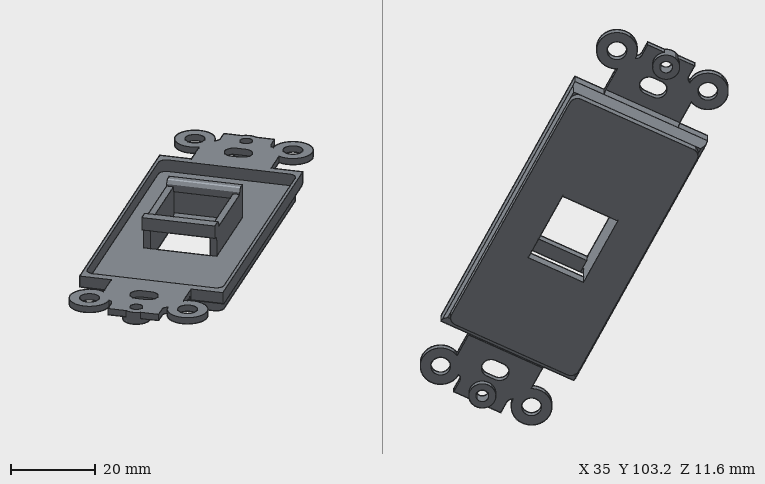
import cadquery as cq

BEZEL_TOP = 2.1
FLOOR_Z = 3.0
SIDE_EDGE_Z = 2.7
END_EDGE_Z = 3.2
PLATE_TOP = 6.0
RAIL_TOP = 10.0
LIP_TOP = 11.6

LENGTH = 103.2
PLATE_WIDTH = 35.0
PLATE_LENGTH = 70.6
BEZEL_WIDTH = 33.5
BEZEL_LENGTH = 66.4
CORNER_RADIUS = 2.0

TAB_THICKNESS = 1.7
TAB_WIDTH = 19.5
GUSSET_RUN = 0.8
NECK_WIDTH = 12.4
NECK_END_Y = 51.1
NECK_FILLET_RADIUS = 1.5
EAR_X = 12.0
EAR_Y = 46.5
EAR_DIAMETER = 9.6
EAR_HOLE_DIAMETER = 4.6
BOSS_DIAMETER = 6.4
BOSS_DROP = 1.4
SCREW_HOLE_DIAMETER = 3.0
SLOT_Y = 41.6
SLOT_LENGTH = 6.7
SLOT_WIDTH = 4.5

HOLDER_WIDTH = 17.9
OPENING_WIDTH = 14.6
BACK_Y = 12.8
BACK_WALL = 1.5
BACK_LIP = 2.3
BACK_LIP_BOTTOM = 8.8
BACK_LIP_RADIUS = 1.1
FRONT_Y = -11.4
FRONT_LIP = 3.4
FRONT_LIP_BOTTOM = 8.4
FRONT_LIP_RADIUS = 1.1
RAIL_FRONT_Y = -9.7
RAIL_FILLET_RADIUS = 1.4
RAMP_FRONT_Y = 8.4

TAB_BOTTOM = PLATE_TOP - TAB_THICKNESS
BOSS_Y = (LENGTH - BOSS_DIAMETER) / 2


def box(width, y_min, y_max, z_min, z_max):
    """Box centred on x = 0 between the given y and z limits."""
    size = (width, y_max - y_min, z_max - z_min)
    return cq.Workplane("XY").box(*size, centered=(True, False, False)).translate((0, y_min, z_min))


def across(profile, width):
    """Extrude a closed YZ outline symmetrically along X."""
    return profile.close().extrude(width / 2, both=True)


def rounded_block(z_min, z_max):
    block = box(BEZEL_WIDTH, -BEZEL_LENGTH / 2, BEZEL_LENGTH / 2, z_min, z_max)
    return block.edges("|Z").fillet(CORNER_RADIUS)


def sloped_slab(plane, width, base_width, edge_z, depth):
    """Slab whose two lower edges slope up from the bezel to edge_z."""
    return (
        cq.Workplane(plane)
        .moveTo(-base_width / 2, BEZEL_TOP)
        .lineTo(base_width / 2, BEZEL_TOP)
        .lineTo(width / 2, edge_z)
        .lineTo(width / 2, PLATE_TOP)
        .lineTo(-width / 2, PLATE_TOP)
        .lineTo(-width / 2, edge_z)
        .close()
        .extrude(depth / 2, both=True)
    )


def make_plate():
    side_slopes = sloped_slab("XZ", PLATE_WIDTH, BEZEL_WIDTH, SIDE_EDGE_Z, PLATE_LENGTH)
    end_slopes = sloped_slab("YZ", PLATE_LENGTH, BEZEL_LENGTH, END_EDGE_Z, PLATE_WIDTH)
    plate = side_slopes.intersect(end_slopes).union(rounded_block(0, BEZEL_TOP))
    return plate.cut(rounded_block(FLOOR_Z, PLATE_TOP))


def plate_level(y, x=0.0, z=TAB_BOTTOM):
    return cq.Workplane("XY", origin=(x, y, z))


def make_tab():
    """Mounting tab at the +Y end, with ears, screw boss and holes."""
    root_y = BEZEL_LENGTH / 2
    plate_end = PLATE_LENGTH / 2
    tab = box(TAB_WIDTH, root_y, EAR_Y, TAB_BOTTOM, PLATE_TOP)
    tab = tab.union(box(NECK_WIDTH, root_y, NECK_END_Y, TAB_BOTTOM, PLATE_TOP))

    for side in (-1, 1):
        x = side * NECK_WIDTH / 2
        flare_x = x + side * NECK_FILLET_RADIUS
        flare = (
            plate_level(0)
            .moveTo(x, EAR_Y)
            .lineTo(flare_x, EAR_Y)
            .radiusArc((x, EAR_Y + NECK_FILLET_RADIUS), side * NECK_FILLET_RADIUS)
            .close()
            .extrude(TAB_THICKNESS)
        )
        tab = tab.union(flare)

    gusset = across(
        cq.Workplane("YZ")
        .moveTo(plate_end, END_EDGE_Z)
        .lineTo(plate_end + GUSSET_RUN, TAB_BOTTOM)
        .lineTo(plate_end, TAB_BOTTOM),
        TAB_WIDTH,
    )
    boss = plate_level(BOSS_Y, z=TAB_BOTTOM - BOSS_DROP)
    tab = tab.union(gusset).union(boss.circle(BOSS_DIAMETER / 2).extrude(BOSS_DROP + TAB_THICKNESS))

    for x in (-EAR_X, EAR_X):
        ear = plate_level(EAR_Y, x)
        tab = tab.union(ear.circle(EAR_DIAMETER / 2).extrude(TAB_THICKNESS))
        tab = tab.cut(ear.circle(EAR_HOLE_DIAMETER / 2).extrude(TAB_THICKNESS))

    tab = tab.cut(boss.circle(SCREW_HOLE_DIAMETER / 2).extrude(BOSS_DROP + TAB_THICKNESS))
    slot = plate_level(SLOT_Y).slot2D(SLOT_LENGTH, SLOT_WIDTH).extrude(TAB_THICKNESS)
    return tab.cut(slot).cut(rounded_block(FLOOR_Z, PLATE_TOP))


def make_holder():
    """Two side rails joined by the back wall and the raised front lip."""
    back_lip_y = BACK_Y - BACK_LIP
    front_lip_y = FRONT_Y + FRONT_LIP
    profile = (
        cq.Workplane("YZ")
        .moveTo(BACK_Y, FLOOR_Z)
        .lineTo(BACK_Y, LIP_TOP)
        .lineTo(back_lip_y + BACK_LIP_RADIUS, LIP_TOP)
        .radiusArc((back_lip_y, LIP_TOP - BACK_LIP_RADIUS), -BACK_LIP_RADIUS)
        .lineTo(back_lip_y, RAIL_TOP)
        .lineTo(front_lip_y, RAIL_TOP)
        .lineTo(front_lip_y, LIP_TOP - FRONT_LIP_RADIUS)
        .radiusArc((front_lip_y - FRONT_LIP_RADIUS, LIP_TOP), -FRONT_LIP_RADIUS)
        .lineTo(FRONT_Y, LIP_TOP)
        .lineTo(FRONT_Y, FRONT_LIP_BOTTOM)
        .lineTo(RAIL_FRONT_Y - RAIL_FILLET_RADIUS, FRONT_LIP_BOTTOM)
        .radiusArc((RAIL_FRONT_Y, FRONT_LIP_BOTTOM - RAIL_FILLET_RADIUS), RAIL_FILLET_RADIUS)
        .lineTo(RAIL_FRONT_Y, FLOOR_Z)
    )
    return across(profile, HOLDER_WIDTH)


def make_opening():
    """Jack passage: ramped at the back of the floor, open under the front lip."""
    back_wall_y = BACK_Y - BACK_WALL
    profile = (
        cq.Workplane("YZ")
        .moveTo(RAIL_FRONT_Y, 0)
        .lineTo(RAMP_FRONT_Y, 0)
        .lineTo(back_wall_y, FLOOR_Z)
        .lineTo(back_wall_y, BACK_LIP_BOTTOM)
        .lineTo(BACK_Y - BACK_LIP, BACK_LIP_BOTTOM)
        .lineTo(BACK_Y - BACK_LIP, LIP_TOP)
        .lineTo(FRONT_Y + FRONT_LIP, LIP_TOP)
        .lineTo(FRONT_Y + FRONT_LIP, FRONT_LIP_BOTTOM)
        .lineTo(FRONT_Y, FRONT_LIP_BOTTOM)
        .lineTo(FRONT_Y, FLOOR_Z)
        .lineTo(RAIL_FRONT_Y, FLOOR_Z)
    )
    return across(profile, OPENING_WIDTH)


tab = make_tab()
result = make_plate().union(tab).union(tab.mirror("XZ"))
result = result.union(make_holder()).cut(make_opening())